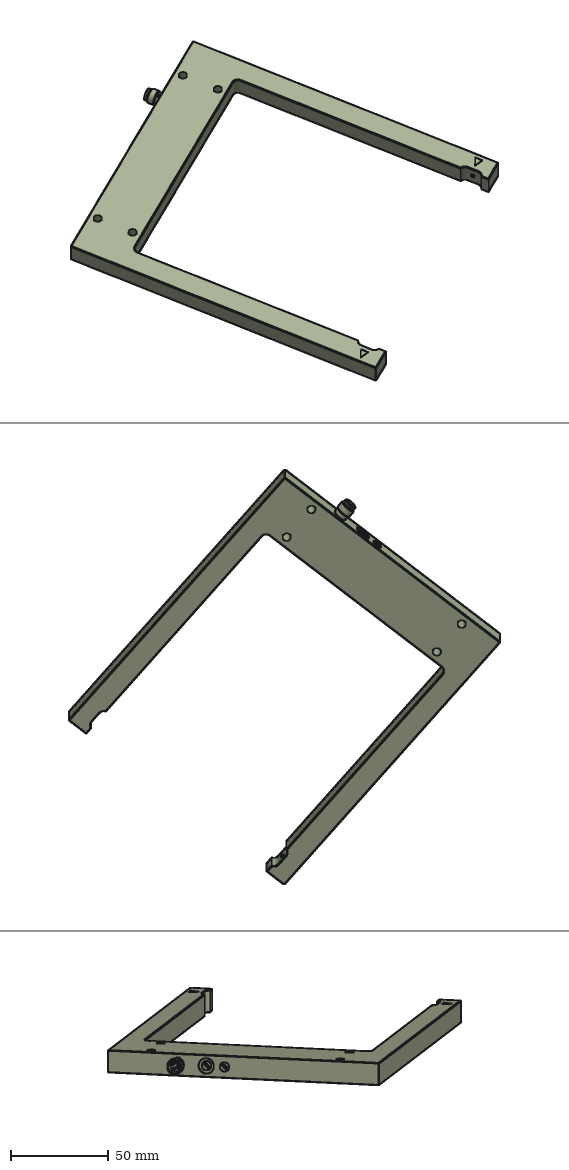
import cadquery as cq

overall_length = 183.4
width = 144.0
thickness = 12.0
connector_length = 8.5
body_length = overall_length - connector_length
bridge_depth = 30.0
arm_width = 12.0
inner_corner_radius = 2.8
edge_chamfer = 0.45
gap_width = width - 2 * arm_width

mount_hole_diameter = 4.2
mount_hole_x = (5.0, 25.0)
mount_hole_y = 50.0

window_x = body_length - 10.0
window_width = 12.0
window_depth = 2.0
window_fillet = 3.0
lens_diameter = 2.0
lens_depth = 0.5

mark_y = 67.1
mark_width = 4.0
mark_height = 4.8
mark_depth = 0.2

screw_diameter = 5.0
screw_inset = 0.4
screw_slot_width = 1.1
screw_slot_depth = 1.0
screw_slot_angle = -45
adjuster_y = 19.8
recess_diameter = 8.0
recess_depth = 1.0
lock_screw_y = 10.0

connector_y = 35.0
neck_diameter = 7.2
collar_diameter = 8.0
collar_end_diameter = 7.7
groove_diameter = 6.5
rim_diameter = 6.6
neck_end = 2.4
collar_start = 3.0
collar_end = 5.7
groove_start = 6.5
rim_start = 7.2
socket_diameter = 5.9
socket_depth = 5.5
pin_count = 3
pin_diameter = 1.0
pin_circle_diameter = 3.3
pin_length = 4.5
key_width = 1.3
key_offset = -0.65


def back_cylinder(y, diameter, start, end):
    """Cylinder along X at mid-height, reaching from x = start to x = end."""
    return cq.Workplane("YZ", origin=(start, y, 0)).circle(diameter / 2).extrude(end - start)


def make_window_cut():
    return (
        cq.Workplane("XY")
        .box(window_width, gap_width + 2 * window_depth, thickness)
        .edges("|Z")
        .fillet(window_fillet)
        .translate((window_x, 0, 0))
    )


def make_fork():
    """U-shaped plate with windows; its outer corners and its top and bottom edges are chamfered."""
    plate = cq.Workplane("XY").box(body_length, width, thickness, centered=(False, True, True))
    plate = plate.edges("|Z").chamfer(edge_chamfer)
    gap = (
        cq.Workplane("XY")
        .box(body_length, gap_width, thickness, centered=(False, True, True))
        .edges("|Z and <X")
        .fillet(inner_corner_radius)
        .translate((bridge_depth, 0, 0))
    )
    fork = plate.cut(gap).cut(make_window_cut())
    return fork.faces("|Z").edges().chamfer(edge_chamfer)


def make_mount_holes():
    points = [(x, side * mount_hole_y) for x in mount_hole_x for side in (-1, 1)]
    return (
        cq.Workplane("XY")
        .pushPoints(points)
        .circle(mount_hole_diameter / 2)
        .extrude(thickness / 2, both=True)
    )


def make_lens_cut():
    reach = gap_width / 2 + window_depth + lens_depth
    return cq.Workplane("XZ", origin=(window_x, 0, 0)).circle(lens_diameter / 2).extrude(reach, both=True)


def make_mark_cut(y):
    base = y + mark_height / 2
    return (
        cq.Workplane("XY", origin=(window_x, 0, thickness / 2 - mark_depth))
        .polyline([(-mark_width / 2, base), (mark_width / 2, base), (0, base - mark_height)])
        .close()
        .extrude(mark_depth)
    )


def make_screw_cut(y, surface_x):
    """Shallow round pocket showing a screw head, with the diagonal slot below it."""
    head_x = surface_x + screw_inset
    slot = (
        cq.Workplane("XY")
        .box(screw_slot_depth, screw_slot_width, screw_diameter, centered=(False, True, True))
        .rotate((0, 0, 0), (1, 0, 0), screw_slot_angle)
        .translate((head_x, y, 0))
        .intersect(back_cylinder(y, screw_diameter, head_x, head_x + screw_slot_depth))
    )
    return back_cylinder(y, screw_diameter, surface_x, head_x).union(slot)


def make_connector():
    """Turned shell with an open socket, contact pins and a key on top of its neck."""
    profile = [
        (0, 0),
        (0, neck_diameter / 2),
        (-neck_end, neck_diameter / 2),
        (-collar_start, collar_diameter / 2),
        (-collar_end, collar_diameter / 2),
        (-groove_start, collar_end_diameter / 2),
        (-groove_start, groove_diameter / 2),
        (-rim_start, groove_diameter / 2),
        (-rim_start, rim_diameter / 2),
        (-connector_length, rim_diameter / 2),
        (-connector_length, 0),
    ]
    shell = cq.Workplane("XY").polyline(profile).close().revolve(360, (0, 0, 0), (1, 0, 0))
    key = (
        cq.Workplane("XY")
        .box(collar_start, key_width, collar_diameter / 2, centered=(False, True, False))
        .translate((-collar_start, key_offset, 0))
    )
    socket = back_cylinder(0, socket_diameter, -connector_length, socket_depth - connector_length)
    pins = (
        cq.Workplane("YZ", origin=(socket_depth - connector_length, 0, 0))
        .polarArray(pin_circle_diameter / 2, 180, 360, pin_count)
        .circle(pin_diameter / 2)
        .extrude(-pin_length)
    )
    return shell.union(key).cut(socket).union(pins).translate((0, connector_y, 0))


result = make_fork().cut(make_mount_holes()).cut(make_lens_cut())
for side in (-1, 1):
    result = result.cut(make_mark_cut(side * mark_y))
result = result.cut(back_cylinder(adjuster_y, recess_diameter, 0, recess_depth))
result = result.cut(make_screw_cut(adjuster_y, recess_depth))
result = result.cut(make_screw_cut(lock_screw_y, 0))
result = result.union(make_connector())